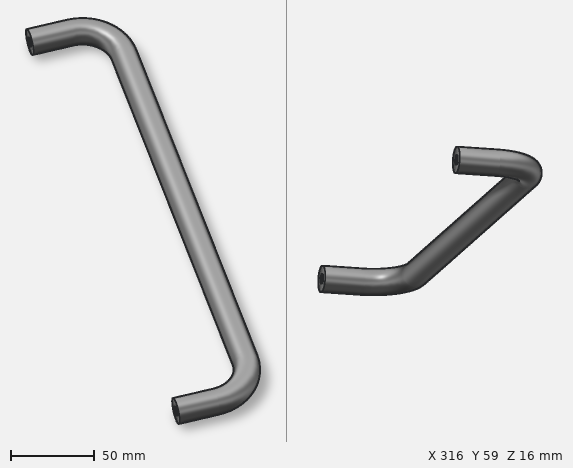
import cadquery as cq
import math

bar_diameter = 16.0
hole_spacing = 300.0
handle_height = 59.0
bend_radius = 26.0
hole_diameter = 5.0
hole_depth = 15.0
mouth_chamfer = 0.5
drill_tip_angle = 120.0

bar_radius = bar_diameter / 2
leg_x = hole_spacing / 2
leg_end_y = -handle_height / 2
grip_y = handle_height / 2 - bar_radius
bend_start_y = grip_y - bend_radius
bend_end_x = leg_x - bend_radius
hole_radius = hole_diameter / 2
mouth_radius = hole_radius + mouth_chamfer
tip_length = hole_radius / math.tan(math.radians(drill_tip_angle / 2))


def bent_bar():
    """Round bar swept along leg, bend, grip, bend and leg."""
    axis = (
        cq.Workplane("XY")
        .moveTo(-leg_x, leg_end_y)
        .lineTo(-leg_x, bend_start_y)
        .radiusArc((-bend_end_x, grip_y), bend_radius)
        .lineTo(bend_end_x, grip_y)
        .radiusArc((leg_x, bend_start_y), bend_radius)
        .lineTo(leg_x, leg_end_y)
    )
    section = cq.Workplane("XZ", origin=(-leg_x, leg_end_y, 0)).circle(bar_radius)
    return section.sweep(axis)


def mounting_hole(x):
    """Cutter for one mounting hole: chamfered mouth, straight bore and conical drill tip."""
    return (
        cq.Workplane("XY", origin=(x, leg_end_y, 0))
        .polyline([
            (0, 0),
            (mouth_radius, 0),
            (hole_radius, mouth_chamfer),
            (hole_radius, hole_depth),
            (0, hole_depth + tip_length),
        ])
        .close()
        .revolve(360, (0, 0), (0, 1))
    )


result = bent_bar()
for hole_x in (-leg_x, leg_x):
    result = result.cut(mounting_hole(hole_x))